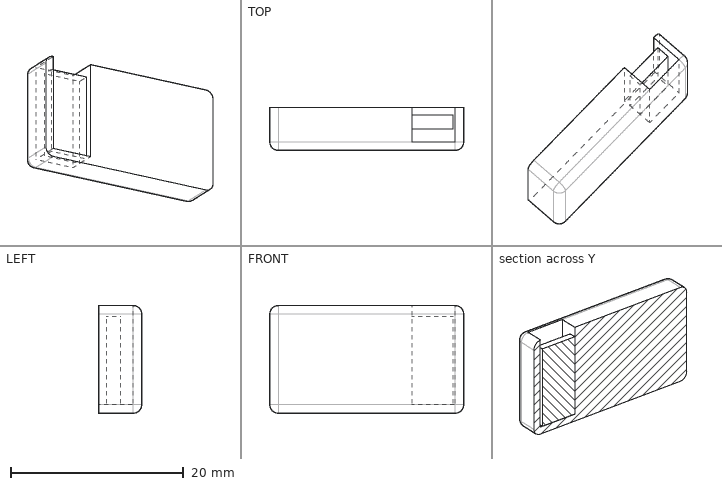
import cadquery as cq

length = 22.5
depth = 5.0
height = 12.5
edge_radius = 1.0
wall = 1.0

notch_length = 5.0
notch_end = length - wall
notch_start = notch_end - notch_length
notch_floor = wall

board_inset = 1.25
board_thickness = 1.6
board_front = 2.5
board_end = length - board_inset
board_top = height - board_inset


def box_between(low, high):
    """Box from its lowest corner to its highest corner, each given as (x, y, z)."""
    sizes = [top - bottom for bottom, top in zip(low, high)]
    return cq.Workplane("XY").box(*sizes, centered=False).translate(low)


def make_housing():
    """Block rounded everywhere but its back rim, with the notch cut down to the bottom wall."""
    block = box_between((0, 0, 0), (length, depth, height))
    block = block.edges("|Y or <Y").fillet(edge_radius)
    notch = box_between((notch_start, wall, notch_floor), (notch_end, depth, height))
    return block.cut(notch)


def make_board():
    """Plain board on the notch floor, against the inner end of the notch."""
    return box_between(
        (notch_start, board_front, notch_floor),
        (board_end, board_front + board_thickness, board_top),
    )


housing = make_housing()
board = make_board()

result = cq.Compound.makeCompound([housing.val(), board.val()])